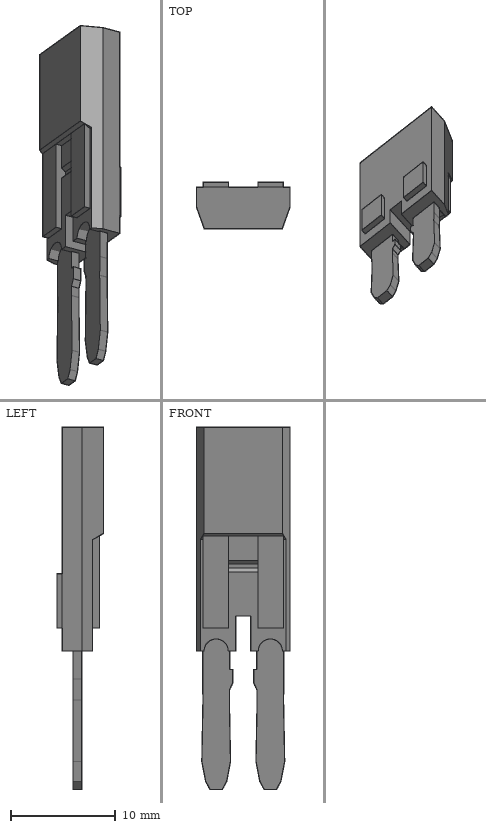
import cadquery as cq


width = 9.0
height = 21.5
back_depth = 1.9
front_depth = 2.1
front_width = 7.5

thin_depth = front_depth / 2
step_top = 11.3
step_bottom = 10.7

strip_inner_x = 1.4
strip_outer_x = 3.85
strip_bottom = 2.2
front_strip_depth = 1.7
front_strip_top = step_bottom + (step_top - step_bottom) * (
    (front_strip_depth - thin_depth) / (front_depth - thin_depth)
)
back_strip_height = 0.5
back_strip_top = 7.45

slot_width = 1.4
slot_height = 3.35
groove_top = 8.7
groove_bottom = 7.6
groove_depth = 0.4
groove_ceiling_drop = 0.35

pin_offset = 2.6
pin_length = 13.31
pin_thickness = 0.85
pin_embed = 1.5
neck_top = -2.7
neck_bottom = -4.7
shoulder = -10.6
tip_start = -12.5
shank_half_width = 1.31
neck_half_width = 1.28
shoulder_half_width = 1.39
tip_start_half_width = 1.02
tip_half_width = 0.59

catch_reach = 1.61
catch_top = -1.75
catch_corner = -3.05
catch_bottom = -3.75

relief_radius = 1.16


def box(x_range, y_range, z_range):
    """Box between the given limits along X, Y and Z."""
    sizes = [high - low for low, high in (x_range, y_range, z_range)]
    corner = (x_range[0], y_range[0], z_range[0])
    return cq.Workplane("XY").box(*sizes, centered=False).translate(corner)


def across_x(points, x_start, x_end):
    """Prism with a (Y, Z) outline, running from x_start to x_end."""
    return cq.Workplane("YZ", origin=(x_start, 0, 0)).polyline(points).close().extrude(x_end - x_start)


def on_both_sides(solid):
    """The solid together with its mirror image about the centre plane X = 0."""
    return solid.union(solid.mirror("YZ"))


def make_housing():
    """Tapered block whose front is stepped back below the grip."""
    half = width / 2
    front_half = front_width / 2
    plan = [
        (-half, back_depth),
        (-half, 0),
        (-front_half, -front_depth),
        (front_half, -front_depth),
        (half, 0),
        (half, back_depth),
    ]
    block = cq.Workplane("XY").polyline(plan).close().extrude(height)
    step = [
        (-front_depth, 0),
        (-thin_depth, 0),
        (-thin_depth, step_bottom),
        (-front_depth, step_top),
    ]
    return block.cut(across_x(step, -half, half))


def make_strips():
    """Front and back strips on the right side."""
    x_range = (strip_inner_x, strip_outer_x)
    front = box(x_range, (-front_strip_depth, 0), (strip_bottom, front_strip_top))
    back = box(x_range, (0, back_depth + back_strip_height), (strip_bottom, back_strip_top))
    return front.union(back)


def make_centre_recess():
    """Clearance that squares off the step between the front strips."""
    return box(
        (-strip_inner_x, strip_inner_x),
        (-front_strip_depth, -thin_depth),
        (step_bottom, front_strip_top),
    )


def make_groove():
    """Trapezoidal groove across the thin section between the strips."""
    groove_back = groove_depth - thin_depth
    outline = [
        (-thin_depth, groove_bottom),
        (groove_back, groove_bottom + groove_depth),
        (groove_back, groove_top - groove_ceiling_drop),
        (-thin_depth, groove_top),
    ]
    return across_x(outline, -strip_inner_x, strip_inner_x)


def make_slot():
    """Open slot through the lower edge of the housing."""
    return box((-slot_width / 2, slot_width / 2), (-front_depth, back_depth), (0, slot_height))


def make_relief():
    """Half-round relief that bares the front of the right pin."""
    return (
        cq.Workplane("XZ")
        .center(pin_offset, 0)
        .circle(relief_radius)
        .extrude(thin_depth)
    )


def make_pin():
    """Right pin: waisted blade with a tapered tip and an inward catch."""
    half_profile = [
        (shank_half_width, pin_embed),
        (shank_half_width, neck_top),
        (neck_half_width, neck_bottom),
        (shoulder_half_width, shoulder),
        (tip_start_half_width, tip_start),
        (tip_half_width, -pin_length),
    ]
    blade = half_profile + [(-x, z) for x, z in reversed(half_profile)]
    catch = [
        (0, catch_top),
        (-catch_reach, catch_top),
        (-catch_reach, catch_corner),
        (-neck_half_width, catch_bottom),
        (0, catch_bottom),
    ]
    plane = cq.Workplane("XZ").center(pin_offset, 0)
    blade_solid = plane.polyline(blade).close().extrude(-pin_thickness)
    catch_solid = plane.polyline(catch).close().extrude(-pin_thickness)
    return blade_solid.union(catch_solid)


housing = make_housing().union(on_both_sides(make_strips()))
housing = housing.cut(make_centre_recess()).cut(make_groove()).cut(make_slot())
housing = housing.cut(on_both_sides(make_relief()))

result = housing.union(on_both_sides(make_pin()))